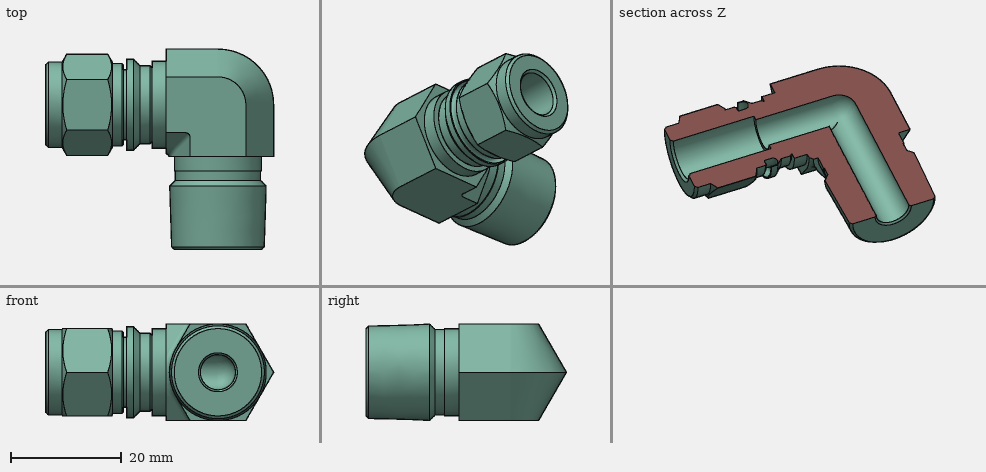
import cadquery as cq
import math

body_flats = 17.5
body_half = body_flats / 2
body_corner = body_flats / math.sqrt(3)
body_reach = 9.39
crotch_fillet = 1.0
crotch_overrun = 5.0
crotch_margin = 0.1
mitre_tolerance = 1e-3

tube_end = 31.17
collar_dia = 15.8
collar_end = 11.91
neck_dia = 14.2
neck_start_dia = 13.4
neck_start = 12.3
neck_end = 14.13
flange_dia = 16.5
flange_start = neck_end + (flange_dia - neck_dia) / 2
flange_end = 16.51
groove_dia = 12.7
flange_rim_dia = 16.0
face_groove_wall = 0.75
skirt_start = 17.1
skirt_dia = 15.0
skirt_chamfer = 0.3
nut_start = 19.12
nut_hex_end = 28.2
nut_flats = 15.9
nut_corner = nut_flats / math.sqrt(3)
nut_nose_dia = 15.5
nut_nose_chamfer = 0.5
nut_chamfer_angle = 30.0

thread_end = 26.2
shoulder_dia = 15.8
shoulder_end = 11.97
relief_dia = 15.5
relief_end = 13.69
thread_dia = 17.5
thread_start = relief_end + (thread_dia - relief_dia) / 2
thread_taper = 1 / 16
thread_chamfer_length = 0.5

bore_dia = 6.35
bore_mouth_dia = 7.05
tube_socket_dia = 8.14
tube_socket_mouth_dia = 9.1
tube_socket_depth = 16.2


def turned(profile):
    """Solid of revolution along -X from (distance, diameter) pairs."""
    first = profile[0][0]
    last = profile[-1][0]
    outline = [(-first, 0)]
    outline += [(-distance, dia / 2) for distance, dia in profile]
    outline += [(-last, 0)]
    return cq.Workplane("XY").polyline(outline).close().revolve(360, (0, 0, 0), (1, 0, 0))


def to_thread_side(solid):
    """Swing a solid built along -X round to -Y."""
    return solid.rotate((0, 0, 0), (0, 0, 1), 90)


def body_arm():
    """Hexagonal arm along -X whose inner (-Y) corner is rounded to the flats."""
    tangent_y = -body_half * math.cos(math.radians(30))
    tangent_z = body_half * math.sin(math.radians(30))
    return (
        cq.Workplane("YZ")
        .moveTo(tangent_y, -tangent_z)
        .lineTo(-body_corner / 2, -body_half)
        .lineTo(body_corner / 2, -body_half)
        .lineTo(body_corner, 0)
        .lineTo(body_corner / 2, body_half)
        .lineTo(-body_corner / 2, body_half)
        .lineTo(tangent_y, tangent_z)
        .threePointArc((-body_half, 0), (tangent_y, -tangent_z))
        .close()
        .extrude(-(body_reach + crotch_overrun))
    )


def body_bend():
    """Quarter turn of half the hexagon, joining the outsides of the arms."""
    return (
        cq.Workplane("XZ")
        .moveTo(0, -body_half)
        .lineTo(body_corner / 2, -body_half)
        .lineTo(body_corner, 0)
        .lineTo(body_corner / 2, body_half)
        .lineTo(0, body_half)
        .close()
        .revolve(90, (0, 0, 0), (0, 1, 0))
    )


def elbow_body():
    arm = body_arm()
    thread_arm = to_thread_side(arm.mirror("XZ"))
    body = arm.union(thread_arm).union(body_bend()).clean()
    near = -body_corner / 2 + crotch_margin
    far = -body_half - crotch_margin
    crotch = cq.selectors.BoxSelector((far, far, -body_half), (near, near, body_half))
    mitre = [
        edge
        for edge in body.edges(crotch).vals()
        if abs(edge.Center().x - edge.Center().y) < mitre_tolerance
    ]
    body = body.newObject(mitre).fillet(crotch_fillet)
    size = body_reach + body_corner
    trim = cq.Workplane("XY").box(size, size, body_flats, centered=(False, False, True))
    return body.intersect(trim.translate((-body_reach, -body_reach, 0)))


def tube_port():
    return turned([
        (0, collar_dia),
        (collar_end, collar_dia),
        (collar_end, neck_start_dia),
        (neck_start, neck_dia),
        (neck_end, neck_dia),
        (flange_start, flange_dia),
        (flange_end, flange_dia),
        (flange_end, groove_dia),
        (skirt_start, groove_dia),
        (skirt_start, skirt_dia - 2 * skirt_chamfer),
        (skirt_start + skirt_chamfer, skirt_dia),
        (nut_start, skirt_dia),
        (nut_start, nut_nose_dia),
        (tube_end - nut_nose_chamfer, nut_nose_dia),
        (tube_end, nut_nose_dia - 2 * nut_nose_chamfer),
    ])


def flange_face_groove():
    """Round-bottomed ring groove sunk into the flange's end face, towards the nut."""
    inner = groove_dia / 2
    outer = flange_rim_dia / 2
    middle = (inner + outer) / 2
    wall_end = flange_end - face_groove_wall
    bottom = wall_end - (outer - inner) / 2
    return (
        cq.Workplane("XY")
        .moveTo(-flange_end, inner)
        .lineTo(-wall_end, inner)
        .threePointArc((-bottom, middle), (-wall_end, outer))
        .lineTo(-flange_end, outer)
        .close()
        .revolve(360, (0, 0, 0), (1, 0, 0))
    )


def nut_hexagon():
    """Hexagon with corners along Y, bevelled at both ends."""
    hexagon = (
        cq.Workplane("YZ", origin=(-nut_start, 0, 0))
        .polygon(6, 2 * nut_corner)
        .extrude(nut_start - nut_hex_end)
    )
    bevel = (nut_corner - nut_nose_dia / 2) * math.tan(math.radians(nut_chamfer_angle))
    envelope = turned([
        (nut_start, nut_nose_dia),
        (nut_start + bevel, 2 * nut_corner),
        (nut_hex_end - bevel, 2 * nut_corner),
        (nut_hex_end, nut_nose_dia),
    ])
    return hexagon.intersect(envelope)


def thread_port():
    tip_start = thread_end - thread_chamfer_length
    tip_dia = thread_dia - (tip_start - thread_start) * thread_taper
    return to_thread_side(turned([
        (0, shoulder_dia),
        (shoulder_end, shoulder_dia),
        (shoulder_end, relief_dia),
        (relief_end, relief_dia),
        (thread_start, thread_dia),
        (tip_start, tip_dia),
        (thread_end, shoulder_dia),
    ]))


def flow_passage():
    """Two bores meeting in a ball, with the tube socket and bevelled mouths."""
    socket_bevel = (tube_socket_mouth_dia - tube_socket_dia) / 2
    socket_bottom = tube_end - tube_socket_depth
    tube_bore = turned([
        (0, bore_dia),
        (socket_bottom, bore_dia),
        (socket_bottom, tube_socket_dia),
        (tube_end - socket_bevel, tube_socket_dia),
        (tube_end, tube_socket_mouth_dia),
    ])
    mouth_bevel = (bore_mouth_dia - bore_dia) / 2
    thread_bore = to_thread_side(turned([
        (0, bore_dia),
        (thread_end - mouth_bevel, bore_dia),
        (thread_end, bore_mouth_dia),
    ]))
    return tube_bore.union(thread_bore).union(cq.Workplane("XY").sphere(bore_dia / 2))


outside = elbow_body().union(tube_port()).union(nut_hexagon()).union(thread_port())
result = outside.cut(flange_face_groove()).cut(flow_passage())